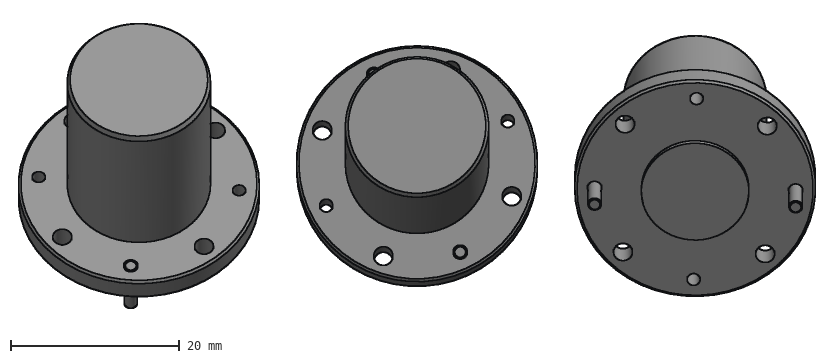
import cadquery as cq
import math

total_height = 29.27
flange_bottom = 4.57
flange_thickness = 3.28
flange_top = flange_bottom + flange_thickness
spigot_depth = 0.7

flange_diameter = 28.57
flange_chamfer = 0.3
barrel_diameter = 17.0
barrel_chamfer_width = 0.35
barrel_chamfer_height = 0.61
spigot_diameter = 12.75

pitch_radius = 11.9
screw_hole_diameter = 2.25
dowel_hole_diameter = 1.55
screw_angles = (0, 90, 180, 270)
dowel_hole_angles = (45, 225)
pin_angles = (135, 315)
pin_diameter = 1.58
pin_hole_diameter = 1.7
pin_chamfer = 0.15


def pitch_point(angle):
    """Return the XY point at an angle in degrees on the pitch circle."""
    turn = math.radians(angle)
    return (pitch_radius * math.cos(turn), pitch_radius * math.sin(turn))


def cylinder(diameter, bottom, top):
    """Return an upright cylinder centred on the Z axis."""
    return cq.Workplane("XY").workplane(offset=bottom).circle(diameter / 2).extrude(top - bottom)


def flange_holes(diameter, angles):
    """Return cutters that pass through the flange at the given angles."""
    points = [pitch_point(angle) for angle in angles]
    return (
        cq.Workplane("XY")
        .workplane(offset=flange_bottom)
        .pushPoints(points)
        .circle(diameter / 2)
        .extrude(flange_thickness)
    )


def make_barrel():
    """Return the closed barrel with its steep top chamfer, as a revolved half section."""
    radius = barrel_diameter / 2
    return (
        cq.Workplane("XZ")
        .moveTo(0, flange_bottom)
        .lineTo(radius, flange_bottom)
        .lineTo(radius, total_height - barrel_chamfer_height)
        .lineTo(radius - barrel_chamfer_width, total_height)
        .lineTo(0, total_height)
        .close()
        .revolve(360, (0, 0, 0), (0, 1, 0))
    )


def make_housing():
    """Return the flange, barrel and spigot with all flange holes cut."""
    flange = cylinder(flange_diameter, flange_bottom, flange_top).edges().chamfer(flange_chamfer)
    spigot = cylinder(spigot_diameter, flange_bottom - spigot_depth, flange_bottom)
    body = flange.union(make_barrel()).union(spigot)
    body = body.cut(flange_holes(screw_hole_diameter, screw_angles))
    body = body.cut(flange_holes(dowel_hole_diameter, dowel_hole_angles))
    return body.cut(flange_holes(pin_hole_diameter, pin_angles))


def make_pin(angle):
    """Return a dowel pin, chamfered at both ends, flush with the flange top."""
    x, y = pitch_point(angle)
    pin = cylinder(pin_diameter, 0, flange_top).edges("%CIRCLE").chamfer(pin_chamfer)
    return pin.translate((x, y, 0))


housing = make_housing()
pins = [make_pin(angle) for angle in pin_angles]

result = cq.Compound.makeCompound([housing.val(), *[pin.val() for pin in pins]])